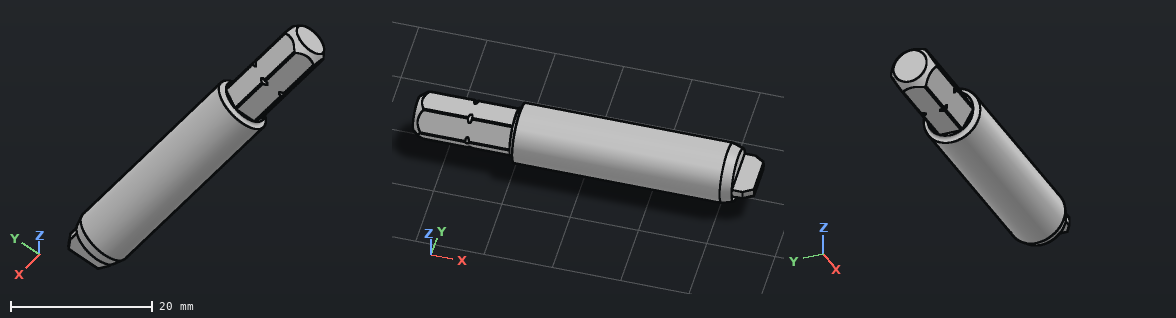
import cadquery as cq
import math

total_length = 50.0
body_start = 15.0
taper_start = 45.4
body_end = 47.0

body_diameter = 8.75
body_radius = body_diameter / 2
nose_radius = 3.85
neck_fillet = 0.6

hex_across_flats = 6.25
shank_radius = 3.55
shank_end_radius = 2.55
shank_chamfer_length = 1.35

groove_center = 8.2
groove_radius = 0.3
groove_depth = 0.25

blade_thickness = 1.35
blade_radius = 3.7
blade_end_radius = 2.8
blade_taper_start = 48.55


def revolve_about_x(profile):
    """Spin a closed half profile, drawn with X along and Z outward, about the X axis."""
    return profile.close().revolve(360, (0, 0, 0), (1, 0, 0))


def make_shank():
    """Hexagon with rounded corners and a conical end, flats facing up and down."""
    corner_diameter = hex_across_flats / math.cos(math.pi / 6)
    hexagon = cq.Workplane("YZ").polygon(6, corner_diameter).extrude(body_start - neck_fillet)
    envelope = revolve_about_x(
        cq.Workplane("XZ")
        .lineTo(0, shank_end_radius)
        .lineTo(shank_chamfer_length, shank_radius)
        .lineTo(body_start, shank_radius)
        .lineTo(body_start, 0)
    )
    return hexagon.intersect(envelope)


def make_groove():
    """Ring of round section that dips into the rounded corners of the shank."""
    ring_radius = shank_radius - groove_depth + groove_radius
    section = cq.Workplane("XZ").moveTo(groove_center, ring_radius).circle(groove_radius)
    return section.revolve(360, (0, 0, 0), (1, 0, 0))


def make_body():
    """Cylinder with a concave fillet at the shank and a conical nose."""
    fillet_start = body_start - neck_fillet
    fillet_top = shank_radius + neck_fillet
    fillet_offset = neck_fillet * math.sin(math.pi / 4)
    fillet_middle = (fillet_start + fillet_offset, fillet_top - fillet_offset)
    return revolve_about_x(
        cq.Workplane("XZ")
        .moveTo(fillet_start, 0)
        .lineTo(fillet_start, shank_radius)
        .threePointArc(fillet_middle, (body_start, fillet_top))
        .lineTo(body_start, body_radius)
        .lineTo(taper_start, body_radius)
        .lineTo(body_end, nose_radius)
        .lineTo(body_end, 0)
    )


def make_blade():
    """Slab with turned side edges that taper towards the tip."""
    turned_tip = revolve_about_x(
        cq.Workplane("XZ")
        .moveTo(body_end, 0)
        .lineTo(body_end, blade_radius)
        .lineTo(blade_taper_start, blade_radius)
        .lineTo(total_length, blade_end_radius)
        .lineTo(total_length, 0)
    )
    slab = cq.Workplane("YZ").rect(body_diameter, blade_thickness).extrude(total_length)
    return turned_tip.intersect(slab)


shank = make_shank().cut(make_groove())
result = shank.union(make_body()).union(make_blade())